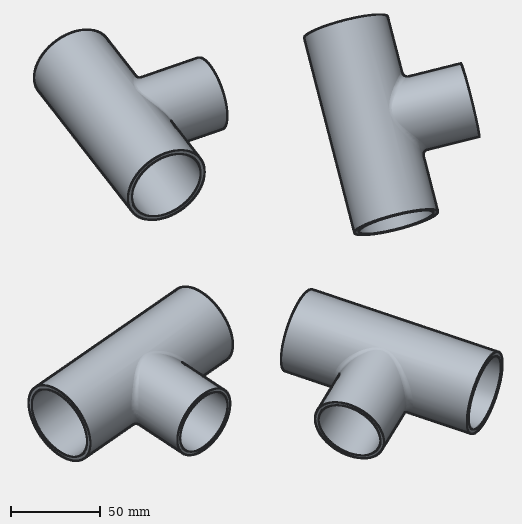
import cadquery as cq

run_length = 114.0
run_outer_diameter = 48.3
run_bore_diameter = 43.1

branch_outer_diameter = 42.4
branch_bore_diameter = 37.8
branch_reach = 57.0

junction_fillet = 3.0


def run_cylinder(diameter):
    """Solid cylinder over the full length of the main pipe."""
    return cq.Workplane("YZ").circle(diameter / 2).extrude(run_length / 2, both=True)


def branch_cylinder(diameter):
    """Solid cylinder from the main axis to the open branch end."""
    return cq.Workplane("XZ").circle(diameter / 2).extrude(-branch_reach)


def tee_body():
    """Outside of the tee, with the saddle-shaped junction rounded."""
    sharp_body = run_cylinder(run_outer_diameter).union(branch_cylinder(branch_outer_diameter))
    selection_box = cq.selectors.BoxSelector(
        (-branch_outer_diameter, 0, -branch_outer_diameter),
        (branch_outer_diameter, branch_reach - junction_fillet, branch_outer_diameter),
        boundingbox=True,
    )
    return sharp_body.edges(selection_box).fillet(junction_fillet)


result = tee_body().cut(run_cylinder(run_bore_diameter)).cut(branch_cylinder(branch_bore_diameter))